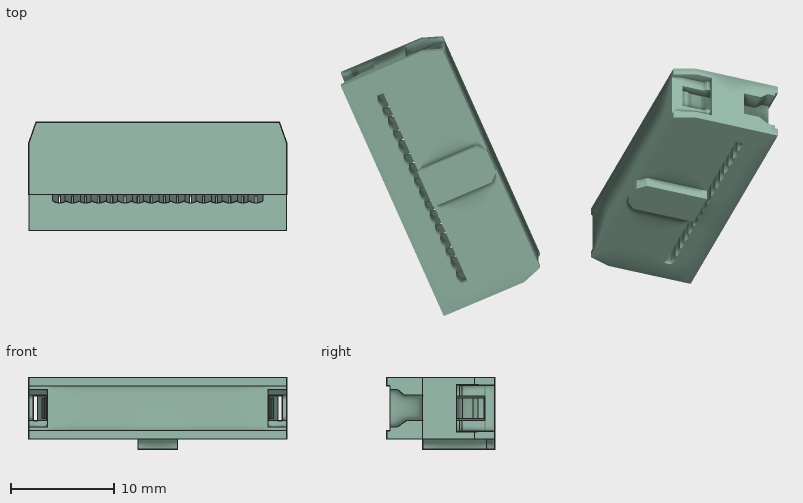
import cadquery as cq


housing_width = 25.02
cover_width = 25.0
body_height = 6.0
housing_length = 7.0
cover_length = 3.5
half_width = housing_width / 2
half_height = body_height / 2

corner_width = 0.7
corner_length = 2.0

key_width = 3.84
key_height = 1.0
key_bevel_length = 0.8
key_bevel_width = 0.8

recess_front = 3.3
recess_step_front = 3.58
recess_step_rear = 3.83
recess_bend = 6.02
recess_step_depth = 0.58
recess_floor_depth = 0.85
recess_rear_depth = 1.1
recess_half_height = 2.19
recess_half_height_outer = 2.29

end_wall_thickness = 0.46
slot_inner_depth = 1.74
slot_half_height = 1.21
bump_half_height = 0.98
bump_middle_depth = 1.53
bump_top_depth = 1.31
bump_first_ramp_start = recess_front
bump_first_ramp_end = 3.88
bump_second_ramp_start = 4.88
bump_second_ramp_end = 5.34
bump_rear = 5.93

relief_depth = 1.82
relief_inner_bottom = -slot_half_height
relief_inner_top = 1.26
relief_outer_half_height = 1.82
relief_ramp_top_start = 1.76
relief_ramp_bottom_start = 1.58
relief_ramp_end = 2.47
lip_height = 0.82
lip_length = 0.32

wire_count = 16
wire_pitch = 1.27
groove_half_width = 0.69
groove_edge_depth = 0.6
groove_depth = 0.83
blade_width = 1.5
blade_thickness = 0.2
blade_row_offset = 0.635
blade_slit_width = 0.15
blade_slit_start = 0.17


def both_ends(left_end):
    """Join a left-end shape with its mirror copy at the right end."""
    return left_end.union(left_end.mirror("YZ"))


def end_prism(depth_points, half_height_z):
    """Prism along Z at the left end from (depth, y) points."""
    points = [(depth - half_width, y) for depth, y in depth_points]
    return (
        cq.Workplane("XY")
        .workplane(offset=-half_height_z)
        .polyline(points)
        .close()
        .extrude(2 * half_height_z)
    )


def box_between(x_range, y_range, z_range):
    """Axis-aligned box from its limits on each axis."""
    sizes = [high - low for low, high in (x_range, y_range, z_range)]
    corner = (x_range[0], y_range[0], z_range[0])
    return cq.Workplane("XY").box(*sizes, centered=False).translate(corner)


def wire_position(index):
    """X position of a wire, counted from the left."""
    return (index - (wire_count - 1) / 2) * wire_pitch


def wire_grooves():
    """Row of arched cable grooves running the full height of the cover."""
    grooves = cq.Workplane("XY")
    for index in range(wire_count):
        x = wire_position(index)
        groove = (
            cq.Workplane("XY")
            .workplane(offset=-half_height)
            .moveTo(x - groove_half_width, 0)
            .lineTo(x - groove_half_width, -groove_edge_depth)
            .threePointArc((x, -groove_depth), (x + groove_half_width, -groove_edge_depth))
            .lineTo(x + groove_half_width, 0)
            .close()
            .extrude(body_height)
        )
        grooves = grooves.union(groove)
    return grooves


def contact_blades():
    """Slotted blades in two staggered rows, trimmed to fit inside the cable grooves."""
    blades = cq.Workplane("XY")
    for index in range(wire_count):
        x = wire_position(index)
        row_z = blade_row_offset if index % 2 else -blade_row_offset
        z_range = (row_z - blade_thickness / 2, row_z + blade_thickness / 2)
        blade = box_between((x - blade_width / 2, x + blade_width / 2), (-groove_depth, 0), z_range)
        slit = box_between(
            (x - blade_slit_width / 2, x + blade_slit_width / 2),
            (-groove_depth, -blade_slit_start),
            z_range,
        )
        blades = blades.union(blade.cut(slit))
    return blades.intersect(wire_grooves())


def housing_block():
    """Main block with tapered rear corners."""
    outline = [
        (-half_width, 0),
        (half_width, 0),
        (half_width, housing_length - corner_length),
        (half_width - corner_width, housing_length),
        (corner_width - half_width, housing_length),
        (-half_width, housing_length - corner_length),
    ]
    return (
        cq.Workplane("XY")
        .workplane(offset=-half_height)
        .polyline(outline)
        .close()
        .extrude(body_height)
    )


def key_rib():
    """Polarizing rib under the block, narrowed at the rear."""
    half_key = key_width / 2
    outline = [
        (-half_key, 0),
        (half_key, 0),
        (half_key, housing_length - key_bevel_length),
        (half_key - key_bevel_width, housing_length),
        (key_bevel_width - half_key, housing_length),
        (-half_key, housing_length - key_bevel_length),
    ]
    return (
        cq.Workplane("XY")
        .workplane(offset=-half_height - key_height)
        .polyline(outline)
        .close()
        .extrude(key_height)
    )


def end_recess():
    """Rear recess in the left end: stepped floor, with upper and lower walls that flare outward."""
    floor_plan = end_prism(
        [
            (0, recess_front),
            (recess_step_depth, recess_front),
            (recess_step_depth, recess_step_front),
            (recess_floor_depth, recess_step_rear),
            (recess_floor_depth, recess_bend),
            (recess_rear_depth, housing_length),
            (0, housing_length),
        ],
        half_height,
    )
    inner_x = recess_rear_depth - half_width
    flared_section = (
        cq.Workplane("XZ", origin=(0, recess_front, 0))
        .polyline(
            [
                (-half_width, -recess_half_height_outer),
                (inner_x, -recess_half_height),
                (inner_x, recess_half_height),
                (-half_width, recess_half_height_outer),
            ]
        )
        .close()
        .extrude(recess_front - housing_length)
    )
    return floor_plan.intersect(flared_section)


def latch_slot():
    """Slot behind the left end wall, opening into the end recess."""
    return end_prism(
        [
            (end_wall_thickness, 0),
            (slot_inner_depth, 0),
            (slot_inner_depth, recess_bend),
            (end_wall_thickness, recess_bend),
        ],
        slot_half_height,
    )


def latch_bump():
    """Bump on the inner wall of the left slot, with two ramps that rise toward the rear."""
    return end_prism(
        [
            (slot_inner_depth, bump_first_ramp_start),
            (bump_middle_depth, bump_first_ramp_end),
            (bump_middle_depth, bump_second_ramp_start),
            (bump_top_depth, bump_second_ramp_end),
            (bump_top_depth, bump_rear),
            (slot_inner_depth, bump_rear),
        ],
        bump_half_height,
    )


def end_relief():
    """Opening in the left end of the cover that widens toward the front."""
    outline = [
        (0, relief_inner_bottom),
        (-relief_ramp_bottom_start, relief_inner_bottom),
        (-relief_ramp_end, -relief_outer_half_height),
        (-cover_length, -relief_outer_half_height),
        (-cover_length, relief_outer_half_height),
        (-relief_ramp_end, relief_outer_half_height),
        (-relief_ramp_top_start, relief_inner_top),
        (0, relief_inner_top),
    ]
    return (
        cq.Workplane("YZ", origin=(-half_width, 0, 0))
        .polyline(outline)
        .close()
        .extrude(relief_depth)
    )


def front_step():
    """Band removed across the front wall, leaving an upper and a lower lip."""
    step_half_height = half_height - lip_height
    return box_between(
        (-half_width, half_width),
        (-cover_length, lip_length - cover_length),
        (-step_half_height, step_half_height),
    )


def make_housing():
    """Housing block with key rib and contact blades, plus a recess and a latch slot at both ends."""
    block = housing_block().union(key_rib())
    block = block.cut(both_ends(end_recess())).cut(both_ends(latch_slot()))
    return block.union(both_ends(latch_bump())).union(contact_blades())


def make_cover():
    """Cable cover with grooves, end reliefs and a stepped front wall."""
    block = box_between(
        (-cover_width / 2, cover_width / 2),
        (-cover_length, 0),
        (-half_height, half_height),
    )
    return block.cut(front_step()).cut(both_ends(end_relief())).cut(wire_grooves())


housing = make_housing()
cover = make_cover()

result = cq.Compound.makeCompound([housing.val(), cover.val()])